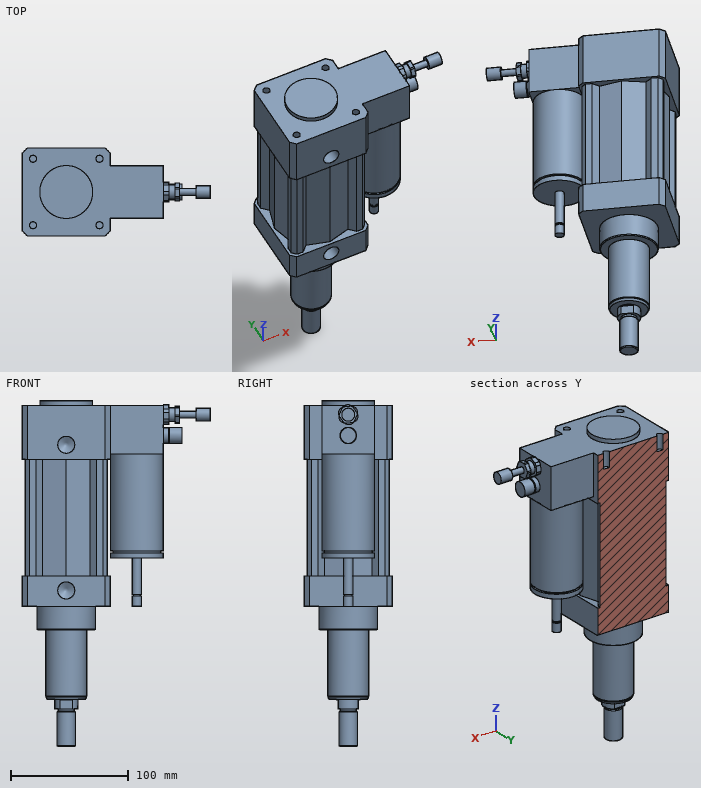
import cadquery as cq
import math


head_width = 75.0
head_corner_chamfer = 4.5
cap_height = 46.0
top_boss_diameter = 45.0
top_boss_height = 4.0
lower_head_height = 26.0
screw_spacing = 56.5
screw_hole_diameter = 6.0
screw_hole_depth = 15.0

port_diameter = 14.5
port_depth = 12.0
port_tip_angle = 118.0
port_distance_from_tube = 12.4

tube_length = 99.0
tube_half_width = 35.0
tube_corner_chamfer = 3.7
tube_pad_inner_edge = 25.6
tube_valley_offset = 20.0

collar_diameter = 50.0
collar_height = 20.0
collar_chamfer = 0.8
guide_diameter = 35.0
guide_tip_diameter = 34.7
guide_length = 59.0
guide_tip_length = 3.0
guide_chamfer = 1.0
guide_chamfer_height = 2.0

rod_diameter = 20.0
rod_shoulder_length = 8.0
rod_flats_width = 17.0
rod_flats_length = 7.3
thread_diameter = 16.0
thread_length = 32.0
thread_chamfer = 0.8
neck_diameter = 14.0
neck_length = 2.0

block_length = 45.0
block_width = 45.0
block_height = 41.5
reservoir_diameter = 45.0
reservoir_length = 88.5
reservoir_groove_diameter = 41.0
reservoir_groove_width = 1.6
reservoir_rim_height = 4.6

indicator_diameter = 8.0
indicator_groove_diameter = 6.0
indicator_groove_width = 1.2
indicator_tip_length = 9.5

valve_depth = 8.0
lock_nut_width = 16.0
lock_nut_corner_diameter = 17.0
lock_nut_length = 4.7
lock_nut_turn = 7.0
valve_barrel_diameter = 12.0
valve_barrel_length = 5.3
gland_nut_width = 14.0
gland_nut_corner_diameter = 15.4
gland_nut_length = 3.9
gland_nut_turn = 36.0
plunger_diameter = 6.0
plunger_length = 13.9
button_diameter = 11.0
button_length = 12.2

nipple_depth = 25.7
nipple_neck_diameter = 13.5
nipple_neck_length = 4.4
nipple_groove_diameter = 12.8
nipple_groove_width = 0.8
nipple_diameter = 14.0
nipple_length = 10.8

tube_top = -cap_height
tube_bottom = tube_top - tube_length
lower_head_bottom = tube_bottom - lower_head_height
collar_bottom = lower_head_bottom - collar_height
guide_bottom = collar_bottom - guide_length
block_end_x = head_width / 2 + block_length
reservoir_x = block_end_x - block_width / 2
reservoir_bottom = -block_height - reservoir_length
indicator_length = reservoir_bottom - lower_head_bottom


def disc_down(diameter, top, height, x=0.0):
    """Upright cylinder that hangs down from the given level."""
    return cq.Workplane("XY", origin=(x, 0, top)).circle(diameter / 2).extrude(-height)


def disc_along_x(diameter, start_x, length, z):
    """Cylinder that lies along +X at height z."""
    return cq.Workplane("YZ", origin=(start_x, 0, z)).circle(diameter / 2).extrude(length)


def nut_along_x(width, corner_diameter, start_x, length, z, turn):
    """Hexagon with rounded corners; one corner is turned from +Z towards -Y by `turn` degrees."""
    hexagon = (
        cq.Workplane("YZ", origin=(start_x, 0, z))
        .transformed(rotate=(0, 0, 90 + turn))
        .polygon(6, width / math.cos(math.radians(30)))
        .extrude(length)
    )
    return hexagon.intersect(disc_along_x(corner_diameter, start_x, length, z))


def square_head(top, height):
    return (
        cq.Workplane("XY", origin=(0, 0, top - height / 2))
        .box(head_width, head_width, height)
        .edges("|Z")
        .chamfer(head_corner_chamfer)
    )


def profile_tube():
    pad_edge = tube_half_width - tube_corner_chamfer
    valley_level = tube_half_width - (tube_pad_inner_edge - tube_valley_offset)
    side = [
        (-pad_edge, -tube_half_width),
        (-tube_pad_inner_edge, -tube_half_width),
        (-tube_valley_offset, -valley_level),
        (0, -tube_half_width),
        (tube_valley_offset, -valley_level),
        (tube_pad_inner_edge, -tube_half_width),
        (pad_edge, -tube_half_width),
    ]
    outline = []
    for _ in range(4):
        outline += side
        side = [(-y, x) for x, y in side]
    return cq.Workplane("XY", origin=(0, 0, tube_top)).polyline(outline).close().extrude(-tube_length)


def rod_guide():
    collar = disc_down(collar_diameter, lower_head_bottom, collar_height)
    collar = collar.faces("<Z").edges().chamfer(collar_chamfer)
    guide = disc_down(guide_diameter, collar_bottom, guide_length - guide_tip_length)
    tip = disc_down(guide_tip_diameter, guide_bottom + guide_tip_length, guide_tip_length)
    tip = tip.faces("<Z").edges().chamfer(guide_chamfer_height, guide_chamfer)
    return collar.union(guide).union(tip)


def port(z):
    """Drilled port with a conical floor, entering from the -Y side."""
    radius = port_diameter / 2
    tip_height = radius / math.tan(math.radians(port_tip_angle / 2))
    mouth_y = -head_width / 2
    floor_y = mouth_y + port_depth
    return (
        cq.Workplane("XY", origin=(0, 0, z))
        .polyline([(0, mouth_y), (radius, mouth_y), (radius, floor_y), (0, floor_y + tip_height)])
        .close()
        .revolve(360, (0, 0), (0, 1))
    )


def side_block():
    return cq.Workplane("XY").box(
        block_end_x, block_width, block_height, centered=(False, True, False)
    ).translate((0, 0, -block_height))


def reservoir():
    rim_top = reservoir_bottom + reservoir_rim_height
    groove_top = rim_top + reservoir_groove_width
    barrel = disc_down(reservoir_diameter, -block_height, -block_height - groove_top, reservoir_x)
    groove = disc_down(reservoir_groove_diameter, groove_top, reservoir_groove_width, reservoir_x)
    rim = disc_down(reservoir_diameter, rim_top, reservoir_rim_height, reservoir_x)
    return barrel.union(groove).union(rim)


def control_valve():
    z = -valve_depth
    barrel_x = block_end_x + lock_nut_length
    gland_x = barrel_x + valve_barrel_length
    plunger_x = gland_x + gland_nut_length
    button_x = plunger_x + plunger_length
    lock_nut = nut_along_x(
        lock_nut_width, lock_nut_corner_diameter, block_end_x, lock_nut_length, z, lock_nut_turn
    )
    gland_nut = nut_along_x(
        gland_nut_width, gland_nut_corner_diameter, gland_x, gland_nut_length, z, gland_nut_turn
    )
    return (
        lock_nut.union(disc_along_x(valve_barrel_diameter, barrel_x, valve_barrel_length, z))
        .union(gland_nut)
        .union(disc_along_x(plunger_diameter, plunger_x, plunger_length, z))
        .union(disc_along_x(button_diameter, button_x, button_length, z))
    )


def filling_nipple():
    z = -nipple_depth
    groove_x = block_end_x + nipple_neck_length
    head_x = groove_x + nipple_groove_width
    neck = disc_along_x(nipple_neck_diameter, block_end_x, nipple_neck_length, z)
    groove = disc_along_x(nipple_groove_diameter, groove_x, nipple_groove_width, z)
    head = disc_along_x(nipple_diameter, head_x, nipple_length, z)
    return neck.union(groove).union(head)


def make_housing():
    body = square_head(0, cap_height)
    body = body.union(side_block())
    body = body.union(disc_down(top_boss_diameter, top_boss_height, top_boss_height))
    body = body.union(profile_tube())
    body = body.union(square_head(tube_bottom, lower_head_height))
    body = body.union(rod_guide())
    body = body.union(reservoir())
    body = body.union(control_valve())
    body = body.union(filling_nipple())
    body = body.cut(port(tube_top + port_distance_from_tube))
    body = body.cut(port(tube_bottom - port_distance_from_tube))
    screw_holes = (
        cq.Workplane("XY")
        .rect(screw_spacing, screw_spacing, forConstruction=True)
        .vertices()
        .circle(screw_hole_diameter / 2)
        .extrude(-screw_hole_depth)
    )
    return body.cut(screw_holes)


def make_piston_rod():
    shoulder_bottom = guide_bottom - rod_shoulder_length
    shoulder = disc_down(rod_diameter, guide_bottom, rod_shoulder_length)
    flats = cq.Workplane("XY", origin=(0, 0, shoulder_bottom + rod_flats_length / 2)).box(
        rod_diameter, rod_flats_width, rod_flats_length
    )
    collar = disc_down(rod_diameter, guide_bottom, rod_shoulder_length - rod_flats_length)
    shoulder = shoulder.intersect(flats).union(collar)
    neck = disc_down(neck_diameter, shoulder_bottom, neck_length)
    thread = disc_down(thread_diameter, shoulder_bottom - neck_length, thread_length - neck_length)
    thread = thread.faces("<Z or >Z").edges().chamfer(thread_chamfer)
    return shoulder.union(neck).union(thread)


def make_indicator_rod():
    groove_top = reservoir_bottom - indicator_length + indicator_tip_length + indicator_groove_width / 2
    shank = disc_down(indicator_diameter, reservoir_bottom, indicator_length, reservoir_x)
    groove = (
        cq.Workplane("XY", origin=(reservoir_x, 0, groove_top))
        .circle(indicator_diameter / 2)
        .circle(indicator_groove_diameter / 2)
        .extrude(-indicator_groove_width)
    )
    return shank.cut(groove)


housing = make_housing()
piston_rod = make_piston_rod()
indicator_rod = make_indicator_rod()

result = cq.Compound.makeCompound([housing.val(), piston_rod.val(), indicator_rod.val()])